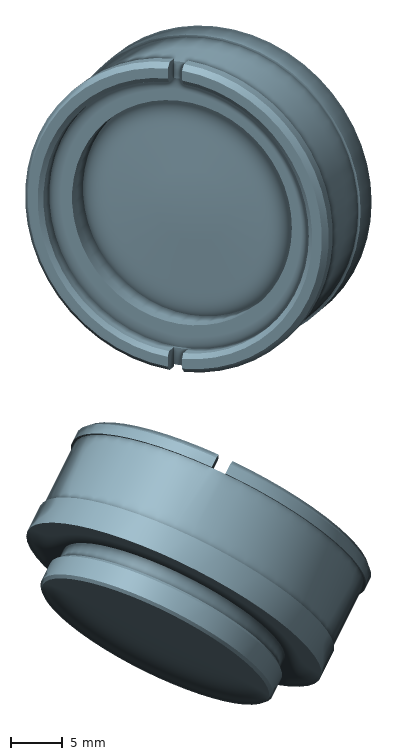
import cadquery as cq

outer_radius = 15.88
total_depth = 15.65

rim_depth = 1.55
rim_chamfer = 0.5
band_radius = 15.62
band_end = 8.7
flange_end = 11.53

neck_radius = 11.95
neck_end = 13.05
collar_radius = 12.5
collar_chamfer = 0.3

recess_radius = 13.87
recess_mouth_radius = 14.35
recess_chamfer_depth = 0.32
recess_depth = 1.8
well_radius = 11.5
well_depth = 4.6
cone_height = 0.5

slot_width = 1.5


def turned_body():
    """Revolve the half section, given as (radius, depth), about the Y axis."""
    section = [
        (0, well_depth - cone_height),
        (well_radius, well_depth),
        (well_radius, recess_depth),
        (recess_radius, recess_depth),
        (recess_radius, recess_chamfer_depth),
        (recess_mouth_radius, 0),
        (outer_radius - rim_chamfer, 0),
        (outer_radius, rim_chamfer),
        (outer_radius, rim_depth),
        (band_radius, rim_depth),
        (band_radius, band_end),
        (outer_radius, band_end),
        (outer_radius, flange_end),
        (neck_radius, flange_end),
        (neck_radius, neck_end),
        (collar_radius - collar_chamfer, neck_end),
        (collar_radius, neck_end + collar_chamfer),
        (collar_radius, total_depth - collar_chamfer),
        (collar_radius - collar_chamfer, total_depth),
        (0, total_depth),
    ]
    return cq.Workplane("XY").polyline(section).close().revolve(360, (0, 0, 0), (0, 1, 0))


def rim_slot():
    """Bar that notches the rim at +Z and -Z, as deep as the rim."""
    bar = cq.Workplane("XY").box(slot_width, rim_depth, 2 * outer_radius + 0.65)
    return bar.translate((0, rim_depth / 2, 0))


centred_body = turned_body().cut(rim_slot())
result = centred_body.translate((0, -total_depth / 2, 0))